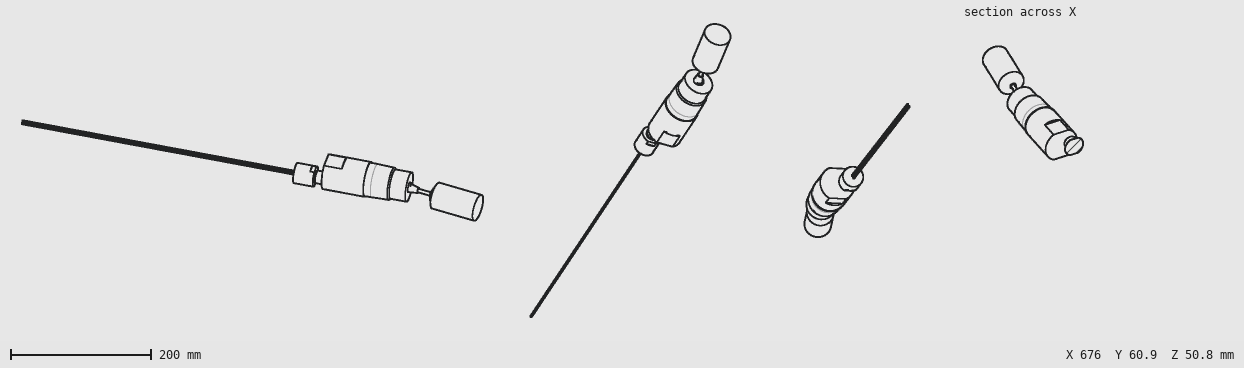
import cadquery as cq
import math

TOTAL_LENGTH = 676.05
TOTAL_WIDTH = 60.92

BODY_DIAMETER = 50.8
BODY_LENGTH = 61.5
WRENCH_FLAT_LENGTH = 26.5
WRENCH_FLAT_SPACING = 44.45

THREAD_COLLAR_LENGTH = 10.0
THREAD_LENGTH = 25.0
THREAD_START_DIAMETER = 48.6
THREAD_TAPER = 1 / 16
THREAD_CHAMFER_LENGTH = 2.3
NOSE_DIAMETER = 42.8
NOSE_END = 122.5

FITTING_OFFSET = 14.3
NECK_DIAMETER = 18.5
NECK_LENGTH = 12.0
HEAD_DIAMETER = 29.7
HEAD_LENGTH = 29.0
HEAD_FLAT_LENGTH = 6.0
HEAD_FLAT_SPACING = 27.0
UNDERCUT_DIAMETER = 17.5
UNDERCUT_LENGTH = 2.0
WIRE_DIAMETER = 2.4
WIRE_SPACING_Y = 1.8
WIRE_SPACING_Z = 3.2

FLOAT_TILT = 8.0
FLOAT_DIAMETER = 38.6
FLOAT_LENGTH = 65.3
FLOAT_END_X = 228.5
FLOAT_CONE_LENGTH = 7.5
FLOAT_CONE_TIP_DIAMETER = 9.0
STEM_DIAMETER = 5.5
HUB_DIAMETER = 13.5
HUB_LENGTH = 3.0
BOOT_START_DIAMETER = 13.0
BOOT_END_DIAMETER = 8.0
BOOT_END_FROM_NOSE = 14.5

tilt = math.radians(FLOAT_TILT)
body_radius = BODY_DIAMETER / 2
float_radius = FLOAT_DIAMETER / 2
float_end_y = body_radius - TOTAL_WIDTH + float_radius * math.cos(tilt)
float_far_x = FLOAT_END_X + float_radius * math.sin(tilt)
wire_end_x = float_far_x - TOTAL_LENGTH
head_rear_x = -NECK_LENGTH - HEAD_LENGTH


def cylinder(start_x, end_x, diameter, y=0.0, z=0.0):
    """Round bar along X between two stations."""
    bar = cq.Workplane("YZ", origin=(start_x, y, z)).circle(diameter / 2)
    return bar.extrude(end_x - start_x)


def revolve_profile(stations):
    """Solid of revolution about X from (x, diameter) stations."""
    outline = [(x, diameter / 2) for x, diameter in stations]
    outline = [(stations[0][0], 0)] + outline + [(stations[-1][0], 0)]
    return cq.Workplane("XY").polyline(outline).close().revolve(360, (0, 0, 0), (1, 0, 0))


def cut_flats(solid, start_x, length, spacing, diameter, y=0.0):
    """Cut a pair of flats facing +Z and -Z."""
    depth = diameter / 2
    for side in (1, -1):
        cutter = cq.Workplane("XY").box(length, 2 * diameter, depth)
        offset_z = side * (spacing + depth) / 2
        solid = solid.cut(cutter.translate((start_x + length / 2, y, offset_z)))
    return solid


def make_body():
    """Main barrel with flats, tapered thread and nose."""
    thread_start = BODY_LENGTH + THREAD_COLLAR_LENGTH
    thread_end = thread_start + THREAD_LENGTH
    thread_end_diameter = THREAD_START_DIAMETER - THREAD_LENGTH * THREAD_TAPER
    barrel = revolve_profile([
        (0, BODY_DIAMETER),
        (BODY_LENGTH, BODY_DIAMETER),
        (BODY_LENGTH, THREAD_START_DIAMETER),
        (thread_start, THREAD_START_DIAMETER),
        (thread_end, thread_end_diameter),
        (thread_end + THREAD_CHAMFER_LENGTH, NOSE_DIAMETER),
        (NOSE_END, NOSE_DIAMETER),
    ])
    return cut_flats(barrel, 0, WRENCH_FLAT_LENGTH, WRENCH_FLAT_SPACING, BODY_DIAMETER)


def make_cable_fitting():
    """Offset neck, fitting head and pair of long wires behind the body."""
    y = -FITTING_OFFSET
    head = cylinder(head_rear_x, -NECK_LENGTH, HEAD_DIAMETER, y)
    flat_start = -NECK_LENGTH - HEAD_FLAT_LENGTH
    head = cut_flats(head, flat_start, HEAD_FLAT_LENGTH, HEAD_FLAT_SPACING, HEAD_DIAMETER, y)
    undercut_end = -NECK_LENGTH + UNDERCUT_LENGTH
    undercut = cylinder(-NECK_LENGTH, undercut_end, UNDERCUT_DIAMETER, y)
    neck = cylinder(undercut_end, 0, NECK_DIAMETER, y)
    fitting = head.union(undercut).union(neck)
    for side in (1, -1):
        wire_y = y + side * WIRE_SPACING_Y / 2
        wire_z = side * WIRE_SPACING_Z / 2
        fitting = fitting.union(cylinder(wire_end_x, head_rear_x, WIRE_DIAMETER, wire_y, wire_z))
    return fitting


def make_float():
    """Float on its stem, swung about Z towards -Y on a pivot on the body axis."""
    pivot_x = FLOAT_END_X + float_end_y / math.tan(tilt)
    float_end = -float_end_y / math.sin(tilt)
    cone_base = float_end - FLOAT_LENGTH
    cone_tip = cone_base - FLOAT_CONE_LENGTH
    hub_face = (NOSE_END - pivot_x) / math.cos(tilt)
    boot_end = hub_face + BOOT_END_FROM_NOSE
    arm = revolve_profile([
        (hub_face, BOOT_START_DIAMETER),
        (boot_end, BOOT_END_DIAMETER),
        (boot_end, STEM_DIAMETER),
        (cone_tip, STEM_DIAMETER),
        (cone_tip, FLOAT_CONE_TIP_DIAMETER),
        (cone_base, FLOAT_DIAMETER),
        (float_end, FLOAT_DIAMETER),
    ])
    arm = arm.rotate((0, 0, 0), (0, 0, 1), -FLOAT_TILT)
    return arm.translate((pivot_x, 0, 0))


hub = cylinder(NOSE_END, NOSE_END + HUB_LENGTH, HUB_DIAMETER)
result = make_body().union(make_cable_fitting()).union(hub).union(make_float())